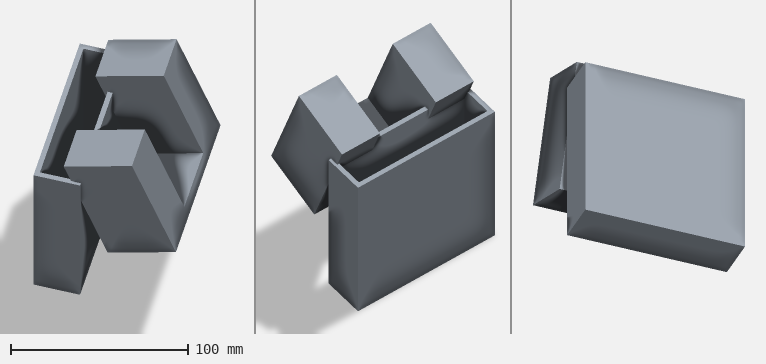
import cadquery as cq
import math

overall_x = 82.99
overall_z = 127.6

box_depth = 27.3
box_width = 97.3
box_height = 101.3
wall = 3.0

tilt_deg = 20.0
block_depth = 42.6
block_length = 75.3
block_width = 93.7
arm_gap = 39.7
web_thickness = 7.6

tilt = math.radians(tilt_deg)
block_span_x = block_depth * math.cos(tilt) + block_length * math.sin(tilt)

corner_x = overall_x - block_span_x
corner_z = overall_z - block_depth * math.sin(tilt)


def make_box():
    """Upright box with its low-X face at X = 0 and its base at Z = 0, centred on Y."""
    return cq.Workplane("XY").box(box_depth, box_width, box_height, centered=(False, True, False))


def make_cavity():
    """Pocket open at the top that leaves an even wall on the sides and floor."""
    return (
        cq.Workplane("XY")
        .box(
            box_depth - 2 * wall,
            box_width - 2 * wall,
            box_height - wall,
            centered=(False, True, False),
        )
        .translate((wall, 0, wall))
    )


def make_block():
    """U-shaped block, built upright below its pivot corner and then tilted into place."""
    body = cq.Workplane("XY").box(block_depth, block_width, block_length, centered=(False, True, False))
    gap = (
        cq.Workplane("XY")
        .box(block_depth, arm_gap, block_length - web_thickness, centered=(False, True, False))
        .translate((0, 0, web_thickness))
    )
    return (
        body.cut(gap)
        .translate((0, 0, -block_length))
        .rotate((0, 0, 0), (0, 1, 0), -tilt_deg)
        .translate((corner_x, 0, corner_z))
    )


result = make_box().cut(make_cavity()).union(make_block())